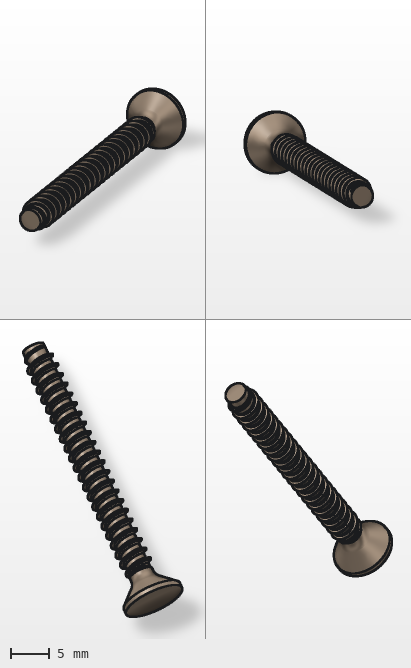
import cadquery as cq
import math

length = 38.0

head_radius = 4.01
rim_height = 0.72
countersink_angle = math.radians(45)

neck_radius = 1.6
neck_fillet = 1.65
neck_end = 4.15
core_radius = 1.463
neck_taper = 0.25

pitch = 1.46
crest_radius = 2.0
crest_half_width = 0.05
knee_radius = 1.6
knee_half_width = 0.15
foot_overlap = 0.02
foot_radius = core_radius - foot_overlap
foot_head_side = 0.55
foot_tip_side = 0.3
buried_radius = 1.3

full_start = 5.2
full_end = 35.87
run_out = 1.2 * pitch
crest_reference = 35.397
steps_per_turn = 16


def make_body():
    """Head, filleted neck and flat-ended core as one turned solid."""
    fillet_drop = neck_fillet * math.sin(countersink_angle)
    fillet_rise = neck_fillet * (1 - math.cos(countersink_angle))
    cone_radius = neck_radius + fillet_rise
    cone_end = rim_height + (head_radius - cone_radius) / math.tan(countersink_angle)
    mid_angle = countersink_angle / 2
    fillet_end = cone_end + fillet_drop
    fillet_middle = (
        neck_radius + neck_fillet * (1 - math.cos(mid_angle)),
        -(fillet_end - neck_fillet * math.sin(mid_angle)),
    )
    outline = (
        cq.Workplane("XZ")
        .lineTo(head_radius, 0)
        .lineTo(head_radius, -rim_height)
        .lineTo(cone_radius, -cone_end)
        .threePointArc(fillet_middle, (neck_radius, -fillet_end))
        .lineTo(neck_radius, -neck_end)
        .lineTo(core_radius, -(neck_end + neck_taper))
        .lineTo(core_radius, -length)
        .lineTo(0, -length)
        .close()
    )
    return outline.revolve(360, (0, 0, 0), (0, 1, 0)).val()


def thread_edge(radius, offset, start, end, start_height, end_height):
    """Right-handed helical edge of one profile corner between two distances from the head top.

    The heights run from 0 (sunk in the core) to 1 (full) and change evenly along the edge.
    """
    count = math.ceil((end - start) / pitch * steps_per_turn)
    points = []
    for step in range(count + 1):
        fraction = step / count
        height = start_height + (end_height - start_height) * fraction
        depth = start + (end - start) * fraction
        angle = 2 * math.pi * (crest_reference - depth) / pitch
        r = radius
        if radius > foot_radius:
            r = foot_radius + (radius - foot_radius) * height
        points.append(cq.Vector(r * math.cos(angle), r * math.sin(angle), offset - depth))
    return cq.Edge.makeSpline(points)


def thread_section(start, end, start_height, end_height):
    """Solid stretch of thread between two distances from the head top."""
    profile = [
        (buried_radius, -foot_tip_side),
        (foot_radius, -foot_tip_side),
        (knee_radius, -knee_half_width),
        (crest_radius, -crest_half_width),
        (crest_radius, crest_half_width),
        (knee_radius, knee_half_width),
        (foot_radius, foot_head_side),
        (buried_radius, foot_head_side),
    ]
    edges = [thread_edge(r, z, start, end, start_height, end_height) for r, z in profile]
    faces = [cq.Face.makeRuledSurface(a, b) for a, b in zip(edges, edges[1:] + edges[:1])]
    for position in (0, 1):
        corners = [edge.positionAt(position) for edge in edges]
        faces.append(cq.Face.makeFromWires(cq.Wire.makePolygon(corners, close=True)))
    return cq.Solid.makeSolid(cq.Shell.makeShell(faces)).fix()


thread = [
    thread_section(full_start - run_out, full_start, 0, 1),
    thread_section(full_start, full_end, 1, 1),
    thread_section(full_end, full_end + run_out, 1, 0),
]

screw = make_body().fuse(*thread)

result = cq.Workplane("XY").add(screw.rotate((0, 0, 0), (1, 0, 0), -90))